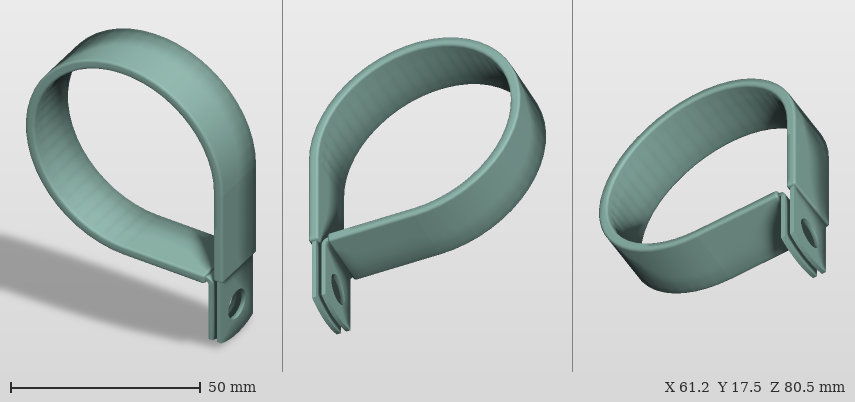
import cadquery as cq
import math

strap_thickness = 1.2
tab_gap = 1.5
bend_inner_radius = 0.8
hole_diameter = 8.6
hole_height = 9.6
tab_end_sagitta = 1.6

loop_radius = 30.6
cushion_wall = 0.8
cushion_edge_radius = 0.7
cushion_width = 17.5
upright_cushion_end = -28.4

total_height = 80.5

cushion_thickness = strap_thickness + 2 * cushion_wall
strap_width = cushion_width - 2 * cushion_wall
bottom_z = loop_radius - total_height
strap_outer = loop_radius - cushion_wall
strap_inner = strap_outer - strap_thickness
inner_tab_outer = strap_inner - tab_gap
inner_tab_inner = inner_tab_outer - strap_thickness
bend_outer_radius = bend_inner_radius + strap_thickness
bend_x = inner_tab_outer - bend_outer_radius
bend_z = -strap_inner - bend_outer_radius


def loop_band(outer, inner, upright_end, level_end):
    """Closed outline of a three-quarter ring with a straight leg at each end."""
    mid_outer = outer * math.sqrt(0.5)
    mid_inner = inner * math.sqrt(0.5)
    return (
        cq.Workplane("XZ")
        .moveTo(outer, upright_end)
        .lineTo(outer, 0)
        .threePointArc((-mid_outer, mid_outer), (0, -outer))
        .lineTo(level_end, -outer)
        .lineTo(level_end, -inner)
        .lineTo(0, -inner)
        .threePointArc((-mid_inner, mid_inner), (inner, 0))
        .lineTo(inner, upright_end)
        .close()
    )


def make_cushion():
    """Sleeve with every boundary edge rounded, including its two ends."""
    outline = loop_band(loop_radius, loop_radius - cushion_thickness, upright_cushion_end, bend_x)
    sleeve = outline.extrude(cushion_width / 2, both=True)
    side_face_edges = sleeve.faces("<Y or >Y").edges()
    end_edges = sleeve.edges("|Y").edges(cq.selectors.BoxSelector(
        (bend_x - cushion_wall, -cushion_width, -2 * loop_radius),
        (2 * loop_radius, cushion_width, upright_cushion_end + cushion_wall),
    ))
    return side_face_edges.add(end_edges).fillet(cushion_edge_radius)


def make_bend():
    """Quarter bend turning the level leg down into the inner tab."""
    diagonal = math.sqrt(0.5)
    return (
        cq.Workplane("XZ")
        .moveTo(bend_x, bend_z + bend_outer_radius)
        .threePointArc(
            (bend_x + bend_outer_radius * diagonal, bend_z + bend_outer_radius * diagonal),
            (inner_tab_outer, bend_z),
        )
        .lineTo(inner_tab_inner, bend_z)
        .threePointArc(
            (bend_x + bend_inner_radius * diagonal, bend_z + bend_inner_radius * diagonal),
            (bend_x, bend_z + bend_inner_radius),
        )
        .close()
        .extrude(strap_width / 2, both=True)
    )


def make_tab(inner_x, top_z):
    """Flat upright tab with a curved lower end and a bolt hole."""
    half_width = strap_width / 2
    corner_z = bottom_z + tab_end_sagitta
    hole_z = bottom_z + hole_height
    plane = cq.Workplane("YZ", origin=(inner_x, 0, 0))
    plate = (
        plane.moveTo(-half_width, top_z)
        .lineTo(-half_width, corner_z)
        .threePointArc((0, bottom_z), (half_width, corner_z))
        .lineTo(half_width, top_z)
        .close()
        .extrude(strap_thickness)
    )
    hole = plane.center(0, hole_z).circle(hole_diameter / 2).extrude(strap_thickness)
    return plate.cut(hole)


strap_outline = loop_band(strap_outer, strap_inner, upright_cushion_end, bend_x)
strap_loop = strap_outline.extrude(strap_width / 2, both=True)

result = (
    make_cushion()
    .union(strap_loop)
    .union(make_bend())
    .union(make_tab(inner_tab_inner, bend_z))
    .union(make_tab(strap_inner, upright_cushion_end))
)